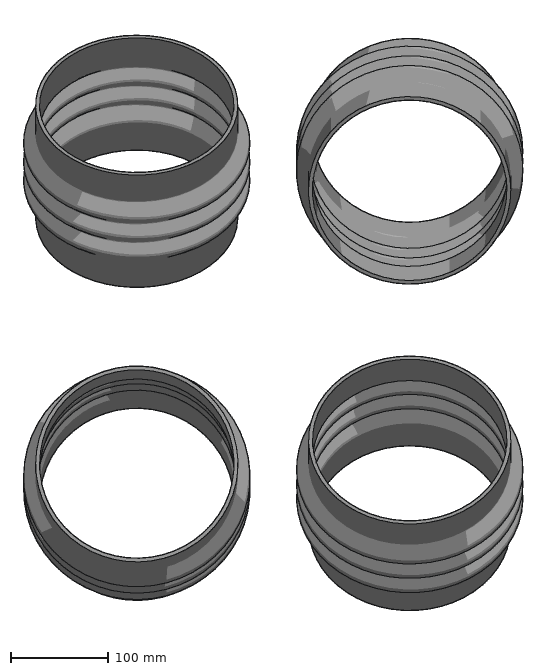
import cadquery as cq
import math

height = 160.0
outer_diameter = 233.0
cuff_outer_diameter = 208.0
cuff_inner_diameter = 200.0
wall = (cuff_outer_diameter - cuff_inner_diameter) / 2

ridge_count = 3
ridge_pitch = 26.5
valley_diameter = 213.0
cuff_bend_height = 42.5
tight_bend = 1.75
wide_bend = tight_bend + wall

crest_centre_radius = outer_diameter / 2 - wide_bend
valley_centre_radius = valley_diameter / 2 + tight_bend
cuff_centre_radius = cuff_outer_diameter / 2 + tight_bend


def bend_centres():
    """Bend centres (radius, z) from bottom to top: cuff, crest, valley, ..., crest, cuff."""
    centres = [(cuff_centre_radius, -cuff_bend_height)]
    for i in range(ridge_count):
        crest_z = (i - (ridge_count - 1) / 2) * ridge_pitch
        centres.append((crest_centre_radius, crest_z))
        if i < ridge_count - 1:
            centres.append((valley_centre_radius, crest_z + ridge_pitch / 2))
    centres.append((cuff_centre_radius, cuff_bend_height))
    return centres


def flank_angle(lower, upper):
    """Signed tilt from the axis of the straight flank tangent to two opposite bends."""
    dr = upper[0] - lower[0]
    dz = upper[1] - lower[1]
    tilt = math.asin((wide_bend + tight_bend) / math.hypot(dr, dz))
    return math.atan2(dr, dz) + math.copysign(tilt, dr)


def solid_of_revolution(cuff_radius, crest_bend, valley_bend):
    """Revolve the area between the axis and one wavy face of the wall."""
    centres = bend_centres()
    flanks = [flank_angle(a, b) for a, b in zip(centres, centres[1:])]
    angles = [0.0] + flanks + [0.0]

    profile = cq.Workplane("XZ").moveTo(0, -height / 2).lineTo(cuff_radius, -height / 2)
    for i, (r, z) in enumerate(centres):
        is_crest = i % 2 == 1
        bend = crest_bend if is_crest else -valley_bend
        start, end = angles[i], angles[i + 1]
        points = [
            (r + bend * math.cos(t), z - bend * math.sin(t))
            for t in (start, (start + end) / 2, end)
        ]
        profile = profile.lineTo(*points[0]).threePointArc(points[1], points[2])
    profile = profile.lineTo(cuff_radius, height / 2).lineTo(0, height / 2).close()
    return profile.revolve(360, (0, 0, 0), (0, 1, 0))


outside = solid_of_revolution(cuff_outer_diameter / 2, wide_bend, tight_bend)
inside = solid_of_revolution(cuff_inner_diameter / 2, tight_bend, wide_bend)
result = outside.cut(inside)